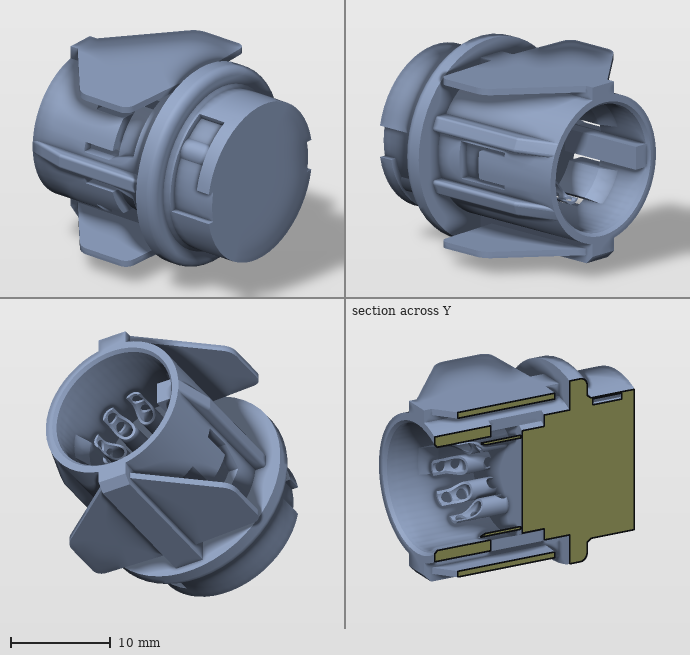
import cadquery as cq
import math

total_length = 23.0
flange_start = 15.5
flange_end = 17.57
hub_start = 17.99
core_face = 10.05

flange_radius = 21.0 / 2
hub_radius = 16.8 / 2
shell_radius = 7.65
bore_radius = 6.62
mid_wall_radius = (bore_radius + shell_radius) / 2
mouth_radius = 13.85 / 2
mouth_depth = 0.35
flange_fillet = 0.83
collar_rise = 0.32

wing_top = 8.83
wing_thickness = 0.67
bar_half_width = 1.55
lower_bar_bottom = 9.65
wing_start = 0.9
wing_end = 13.94
wing_front_corner = 7.55
wing_rear_corner = 13.57
wing_half_span = 9.5
wing_front_fillet = 2.0
wing_rear_fillet = 1.0

rib_radius = 8.83
rib_taper_length = 4.32
side_rib_radius = 8.9
rib_width = 1.56
rib_edge_fillet = 0.32
side_rib_root = 6.1
side_rib_low = 2.53
side_rib_high = 4.05

key_start = 0.28
key_inner = 5.01
key_half_width = 1.2

window_start = 6.5
window_slope_start = 9.65
window_end = 12.6
window_wall = 3.08
window_low = 1.29
window_low_end = 2.3
rear_window_half_width = 1.95
tongue_end = 9.95
tongue_low = 2.28
tongue_high = 5.25
tongue_notch = (3.47, 4.9)
tongue_notch_outer = 3.89
rear_tongue_half_width = 1.45
tongue_ramp_start = 3.9
tongue_ramp_end = 5.86
tongue_inner_radius = 5.98

contact_circle_radius = 3.52
contact_angles = (-90, -45, 0, 45, 90)
contact_diameter = 2.0
cup_diameter = 1.5
cup_start = 4.25
cup_cut_offset = 0.55
cup_flat_length = 1.08
cup_cut_radius = 2.07
wire_hole_diameter = 1.2
wire_hole_positions = (5.18, 6.9)
inspection_hole_position = 9.7

slot_floor_radius = 7.7
slot_start = 18.25
slot_end = 21.45
entry_half_width = 1.63
slot_high_angle = 63.5
detent_angle = 37.0
detent_radius = 1.43
detent_center_radius = 6.72

reach = 13.8
pick_margin = 0.23


def revolve_about_x(points):
    return cq.Workplane("XY").polyline(points).close().revolve(360, (0, 0, 0), (1, 0, 0))


def cylinder_x(start, end, radius):
    return cq.Workplane("YZ").workplane(offset=start).circle(radius).extrude(end - start)


def box_between(x, y, z):
    size = (x[1] - x[0], y[1] - y[0], z[1] - z[0])
    return cq.Workplane("XY").box(*size, centered=False).translate((x[0], y[0], z[0]))


def mirrored_pair(shape):
    return shape.union(shape.mirror("XY"))


def make_body():
    shell = cylinder_x(0, flange_start, shell_radius)
    flange = cylinder_x(flange_start, flange_end, flange_radius)
    flange = flange.faces(">X").edges().fillet(flange_fillet)
    collar = revolve_about_x([
        (flange_end, 0),
        (flange_end, hub_radius + collar_rise),
        (hub_start, hub_radius),
        (hub_start, 0),
    ])
    hub = cylinder_x(hub_start, total_length, hub_radius)
    return shell.union(flange).union(collar).union(hub)


def make_wings():
    wing = (
        cq.Workplane("XY")
        .polyline([
            (wing_start, -bar_half_width),
            (wing_front_corner, -wing_half_span),
            (wing_rear_corner, -wing_half_span),
            (wing_end, -bar_half_width),
            (wing_end, bar_half_width),
            (wing_rear_corner, wing_half_span),
            (wing_front_corner, wing_half_span),
            (wing_start, bar_half_width),
        ])
        .close()
        .extrude(wing_thickness)
        .translate((0, 0, wing_top - wing_thickness))
    )
    middle = (wing_front_corner + wing_rear_corner) / 2
    front_corners = cq.selectors.BoxSelector(
        (wing_front_corner - pick_margin, -reach, 0), (middle, reach, reach))
    rear_corners = cq.selectors.BoxSelector(
        (middle, -reach, 0), (wing_rear_corner + pick_margin, reach, reach))
    wing = wing.edges("|Z").edges(front_corners).fillet(wing_front_fillet)
    wing = wing.edges("|Z").edges(rear_corners).fillet(wing_rear_fillet)

    bar_width = (-bar_half_width, bar_half_width)
    upper_bar = box_between((0, flange_start), bar_width, (bore_radius, wing_top))
    lower_bar = box_between((0, flange_start), bar_width, (-lower_bar_bottom, -bore_radius))
    lower_bar = lower_bar.edges("<X and <Z").chamfer(lower_bar_bottom - wing_top)
    return mirrored_pair(wing).union(upper_bar).union(lower_bar)


def outer_rib_edges(side):
    """Selector for the long edges of a rib crest on the +Y (1) or -Y (-1) side."""
    low, high = sorted((side * (bore_radius - pick_margin), side * reach))
    return cq.selectors.BoxSelector(
        (pick_margin, low, -reach), (flange_start - pick_margin, high, reach))


def make_ribs():
    envelope = revolve_about_x([
        (0, 0),
        (0, shell_radius),
        (rib_taper_length, side_rib_radius),
        (flange_start, side_rib_radius),
        (flange_start, 0),
    ])
    tapered_profile = [
        (0, -bore_radius),
        (0, -shell_radius),
        (rib_taper_length, -rib_radius),
        (flange_start, -rib_radius),
        (flange_start, -bore_radius),
    ]
    front_rib = cq.Workplane("XY").polyline(tapered_profile).close().extrude(rib_width / 2, both=True)
    side_rib = box_between(
        (0, flange_start), (side_rib_root, side_rib_radius), (side_rib_low, side_rib_high))
    side_rib = side_rib.intersect(envelope)
    front_rib = front_rib.edges(outer_rib_edges(-1)).fillet(rib_edge_fillet)
    side_rib = side_rib.edges(outer_rib_edges(1)).fillet(rib_edge_fillet)
    return front_rib.union(mirrored_pair(side_rib))


def make_bore():
    return revolve_about_x([
        (0, 0),
        (0, mouth_radius),
        (mouth_depth, bore_radius),
        (core_face, bore_radius),
        (core_face, 0),
    ])


def make_key():
    key = box_between(
        (key_start, core_face),
        (-shell_radius, -key_inner),
        (-key_half_width, key_half_width),
    )
    return key.intersect(cylinder_x(0, core_face, mid_wall_radius))


def tongue_section(start, end):
    """Outlines of the three tongues seen along X, extruded from start to end."""
    front = (
        cq.Workplane("YZ")
        .workplane(offset=start)
        .polyline([
            (-tongue_notch[0], tongue_low),
            (-tongue_notch[0], tongue_notch[1]),
            (-tongue_notch_outer, tongue_high),
            (-reach, tongue_high),
            (-reach, tongue_low),
        ])
        .close()
        .extrude(end - start)
    )
    rear = box_between(
        (start, end), (0, reach), (-rear_tongue_half_width, rear_tongue_half_width))
    return mirrored_pair(front).union(rear)


def make_windows():
    front = (
        cq.Workplane("XZ", origin=(0, -window_wall, 0))
        .polyline([
            (window_start, window_low),
            (window_slope_start, window_low),
            (window_end, window_low_end),
            (window_end, shell_radius),
            (window_start, shell_radius),
        ])
        .close()
        .extrude(shell_radius)
    )
    rear = box_between(
        (window_start, window_end),
        (window_wall, reach),
        (-rear_window_half_width, rear_window_half_width),
    )
    windows = mirrored_pair(front).union(rear)
    core = cylinder_x(core_face, window_end, bore_radius)
    return windows.cut(tongue_section(window_start, tongue_end)).cut(core)


def make_tongue_wedges():
    thickening = revolve_about_x([
        (tongue_ramp_start, bore_radius),
        (tongue_ramp_end, tongue_inner_radius),
        (tongue_end, tongue_inner_radius),
        (tongue_end, mid_wall_radius),
        (tongue_ramp_start, mid_wall_radius),
    ])
    return tongue_section(tongue_ramp_start, tongue_end).intersect(thickening)


def wire_hole(position, side):
    """Hole through one wall of a contact, on its +Y (1) or -Y (-1) side."""
    return (
        cq.Workplane("XZ", origin=(position, 0, 0))
        .circle(wire_hole_diameter / 2)
        .extrude(-side * contact_diameter)
    )


def make_contact():
    """One solder cup contact on the +Y side of the bore, its cut facing the axis."""
    contact = cylinder_x(cup_start, core_face, contact_diameter / 2)
    contact = contact.cut(cylinder_x(cup_start, core_face, cup_diameter / 2))
    flat_end = cup_start + cup_flat_length
    scoop = (
        cq.Workplane("XY")
        .moveTo(cup_start, cup_cut_offset)
        .lineTo(flat_end, cup_cut_offset)
        .radiusArc((flat_end + cup_cut_radius, cup_cut_offset - cup_cut_radius), cup_cut_radius)
        .lineTo(cup_start, cup_cut_offset - cup_cut_radius)
        .close()
        .extrude(contact_diameter, both=True)
    )
    contact = contact.cut(scoop)
    for position in wire_hole_positions:
        contact = contact.cut(wire_hole(position, 1))
    contact = contact.cut(wire_hole(inspection_hole_position, -1))
    return contact.translate((0, contact_circle_radius, 0))


def sector(start, end, high_angle):
    """Sector about X from the -Y direction up to high_angle above it."""
    def rim_point(angle):
        return (-reach * math.cos(math.radians(angle)), reach * math.sin(math.radians(angle)))

    return (
        cq.Workplane("YZ")
        .workplane(offset=start)
        .lineTo(*rim_point(0))
        .threePointArc(rim_point(high_angle / 2), rim_point(high_angle))
        .close()
        .extrude(end - start)
    )


def make_bayonet_slot():
    track = sector(slot_start, slot_end, slot_high_angle)
    entry = box_between(
        (slot_start, total_length), (-reach, 0), (-entry_half_width, entry_half_width))
    floor = cylinder_x(slot_start, total_length, slot_floor_radius)
    detent = (
        cylinder_x(slot_start, slot_end, detent_radius)
        .translate((0, -detent_center_radius, 0))
        .rotate((0, 0, 0), (1, 0, 0), -detent_angle)
    )
    return track.union(entry).cut(floor).cut(detent)


result = make_body().union(make_wings()).union(make_ribs())
result = result.cut(make_bore()).union(make_key())
result = result.union(make_tongue_wedges()).cut(make_windows())
for angle in contact_angles:
    result = result.union(make_contact().rotate((0, 0, 0), (1, 0, 0), angle))
for angle in (0, 180):
    result = result.cut(make_bayonet_slot().rotate((0, 0, 0), (1, 0, 0), angle))